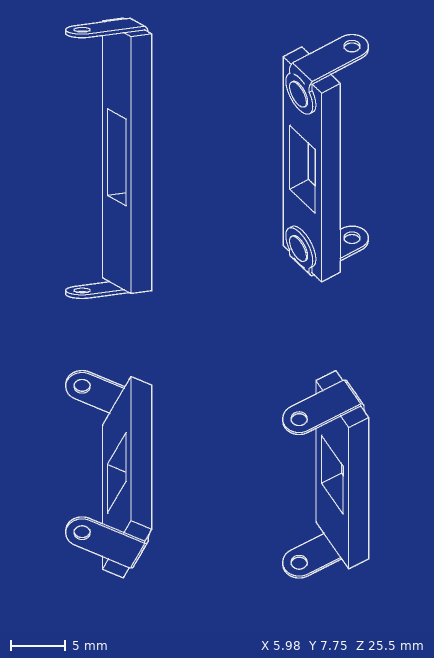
import cadquery as cq
import math

total_height = 25.45
sheet = 0.35

bar_width = 5.98
bar_depth = 2.15
bar_height = total_height - 2 * sheet
window_width = 3.92
window_height = 8.35

strap_width = 3.05
lug_reach = 5.1
lug_hole_diameter = 1.5
bend_diameter = 1.7
bend_radius = bend_diameter / 2
pad_diameter = 4.17
rivet_diameter = 2.6
rivet_height = 0.15
rivet_inset = 2.62

terminal_top = total_height / 2
lug_center_y = strap_width / 2 - lug_reach
pad_back = bar_depth + sheet
rivet_z = terminal_top - rivet_inset


def make_bar():
    bar = cq.Workplane("XY").box(bar_width, bar_depth, bar_height).translate((0, bar_depth / 2, 0))
    window = cq.Workplane("XY").box(window_width, 2 * bar_depth, window_height)
    return bar.cut(window.translate((0, bar_depth / 2, 0)))


def disc_on_back(diameter, thickness, start_y):
    """Disc around the rivet axis, growing toward +Y from start_y."""
    plane = cq.Plane(origin=(0, start_y, rivet_z), xDir=(1, 0, 0), normal=(0, 1, 0))
    return cq.Workplane(plane).circle(diameter / 2).extrude(thickness)


def bent_strap():
    """L-shaped strip: a flat lug over the bar end and a leg down its back."""
    arc_center_y = pad_back - bend_radius
    arc_drop = math.sqrt(bend_radius**2 - (bar_depth - arc_center_y)**2)
    arc_center_z = terminal_top - arc_drop
    half_angle = math.asin(arc_drop / bend_radius) / 2
    arc_middle = (
        arc_center_y + bend_radius * math.cos(half_angle),
        arc_center_z + bend_radius * math.sin(half_angle),
    )
    return (
        cq.Workplane("YZ")
        .moveTo(lug_center_y, terminal_top)
        .lineTo(bar_depth, terminal_top)
        .threePointArc(arc_middle, (pad_back, arc_center_z))
        .lineTo(pad_back, rivet_z)
        .lineTo(bar_depth, rivet_z)
        .lineTo(bar_depth, terminal_top - sheet)
        .lineTo(lug_center_y, terminal_top - sheet)
        .close()
        .extrude(strap_width / 2, both=True)
    )


def make_terminal():
    """Upper terminal: strap with a rounded, drilled lug, round pad and rivet head."""
    lug_center = cq.Workplane("XY", origin=(0, lug_center_y, terminal_top - sheet))
    lug_tip = lug_center.circle(strap_width / 2).extrude(sheet)
    lug_hole = lug_center.circle(lug_hole_diameter / 2).extrude(sheet)
    pad = disc_on_back(pad_diameter, sheet, bar_depth)
    rivet_head = disc_on_back(rivet_diameter, rivet_height, pad_back)
    return bent_strap().union(lug_tip).cut(lug_hole).union(pad).union(rivet_head)


bar = make_bar()
terminals = []
for turn in (0, 180):
    terminals.append(make_terminal().rotate((0, 0, 0), (0, 1, 0), turn))

result = cq.Compound.makeCompound([bar.val(), *[terminal.val() for terminal in terminals]])